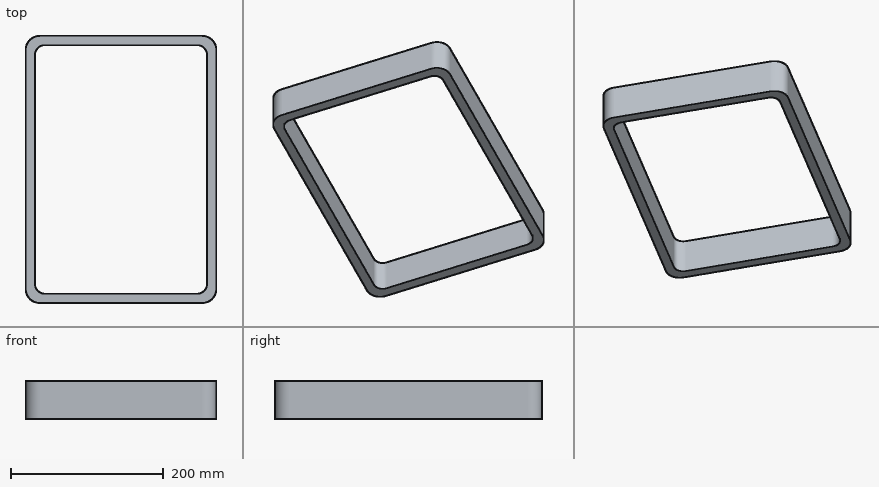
import cadquery as cq

width = 250.0
length = 350.0
height = 50.0

wall = height / 4
outer_corner_radius = 1.5 * wall
inner_corner_radius = wall


def rounded_block(size_x, size_y, corner_radius):
    """Block of the ring's height with rounded vertical edges."""
    block = cq.Workplane("XY").box(size_x, size_y, height)
    return block.edges("|Z").fillet(corner_radius)


outer_block = rounded_block(width, length, outer_corner_radius)
opening = rounded_block(width - 2 * wall, length - 2 * wall, inner_corner_radius)

result = outer_block.cut(opening)